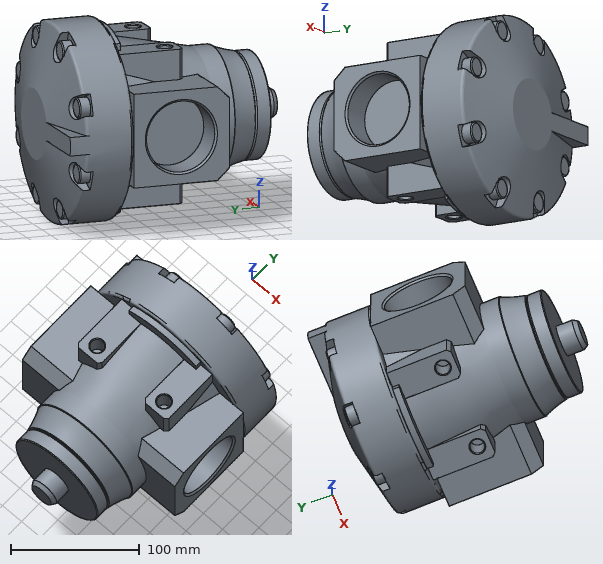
import cadquery as cq
import math

LENGTH = 198.0
SIDES = (-1, 1)

STEM_D = 25.0
STEM_TIP_D = 20.4
STEM_CHAMFER_LENGTH = 3.8

RING_D = 86.0
RING_FRONT_Y = 17.2
RING_BACK_Y = 29.9
RING_FRONT_CHAMFER = 0.8
RING_BACK_CHAMFER = 1.2
GROOVE_WIDTH = 0.8

NECK_FRONT_R = 43.4
NECK_BACK_R = 49.3
NECK_BACK_Y = 49.7
NECK_SAG = 0.5

COLLAR_D = 100.0
COLLAR_CHAMFER = 0.5
COLLAR_BACK_Y = 66.3
CONE_ANGLE = 12.0

CAP_D = 160.0
CAP_FRONT_Y = 145.1
CAP_FLAT_D = 56.6
CAP_SLOPE_ANGLE = 15.0
CAP_REAR_FILLET = 2.5
CAP_FRONT_FILLET = 2.0

SCREW_COUNT = 8
SCREW_CIRCLE_R = 68.3
SCREW_HEAD_D = 16.0
SCREW_HEAD_TOP_Y = 186.7
SCREW_HEAD_CHAMFER = 1.0
RECESS_WIDTH = 17.5
RECESS_FLOOR_Y = 177.8

TAB_WIDTH = 14.8
TAB_FRONT_Y = 181.8

BLOCK_LENGTH = CAP_D
BLOCK_HEIGHT = 75.0
BLOCK_FRONT_Y = 66.0
BLOCK_CHAMFER_Y = 10.0
BLOCK_CHAMFER_Z = 9.5
PORT_D = 56.6
PORT_Y = 106.0
PORT_DEPTH = 26.0
PORT_CHAMFER = 1.5

LEG_SPACING = 70.0
LEG_WIDTH = 25.0
LEG_HEIGHT = 123.5
LEG_FRONT_Y = 92.0
LEG_CHAMFER = 3.0
LEG_HOLE_D = 11.5
LEG_HOLE_Y = 103.0
LEG_HOLE_DEPTH = 19.8
LEG_HOLE_CHAMFER = 0.8

PAD_R = 76.0
PAD_LENGTH = 70.5
PAD_THICKNESS = 5.3


def box(x_range, y_range, z_range):
    """Box between the given limits."""
    size = [high - low for low, high in (x_range, y_range, z_range)]
    corner = (x_range[0], y_range[0], z_range[0])
    return cq.Workplane("XY").box(*size, centered=False).translate(corner)


def disc(diameter, front_y, back_y, x=0.0, z=0.0):
    """Cylinder along Y between two stations."""
    plane = cq.Workplane("XZ", origin=(x, back_y, z))
    return plane.circle(diameter / 2).extrude(back_y - front_y)


def make_body():
    """Revolved stem, ring, neck, collar and cone."""
    ring_r = RING_D / 2
    ring_front_r = ring_r - RING_FRONT_CHAMFER
    groove_r = ring_r - RING_BACK_CHAMFER
    collar_r = COLLAR_D / 2
    neck_front_y = RING_BACK_Y + GROOVE_WIDTH
    neck_middle = ((NECK_FRONT_R + NECK_BACK_R) / 2 - NECK_SAG, (neck_front_y + NECK_BACK_Y) / 2)
    cone_length = CAP_FRONT_Y - COLLAR_BACK_Y
    cone_back_r = collar_r + cone_length * math.tan(math.radians(CONE_ANGLE))
    profile = (
        cq.Workplane("XY")
        .moveTo(0, 0)
        .lineTo(STEM_TIP_D / 2, 0)
        .lineTo(STEM_D / 2, STEM_CHAMFER_LENGTH)
        .lineTo(STEM_D / 2, RING_FRONT_Y)
        .lineTo(ring_front_r, RING_FRONT_Y)
        .lineTo(ring_r, RING_FRONT_Y + RING_FRONT_CHAMFER)
        .lineTo(ring_r, RING_BACK_Y - RING_BACK_CHAMFER)
        .lineTo(groove_r, RING_BACK_Y)
        .lineTo(groove_r, neck_front_y)
        .lineTo(NECK_FRONT_R, neck_front_y)
        .threePointArc(neck_middle, (NECK_BACK_R, NECK_BACK_Y))
        .lineTo(collar_r, NECK_BACK_Y + COLLAR_CHAMFER)
        .lineTo(collar_r, COLLAR_BACK_Y)
        .lineTo(cone_back_r, CAP_FRONT_Y)
        .lineTo(0, CAP_FRONT_Y)
        .close()
    )
    return profile.revolve(360, (0, 0, 0), (0, 1, 0))


def make_cap():
    """Round cap with a conical back and rounded rims."""
    cap_r = CAP_D / 2
    flat_r = CAP_FLAT_D / 2
    slope_drop = (cap_r - flat_r) * math.tan(math.radians(CAP_SLOPE_ANGLE))
    rim_y = LENGTH - slope_drop
    profile = (
        cq.Workplane("XY")
        .moveTo(0, CAP_FRONT_Y)
        .lineTo(cap_r, CAP_FRONT_Y)
        .lineTo(cap_r, rim_y)
        .lineTo(flat_r, LENGTH)
        .lineTo(0, LENGTH)
        .close()
    )
    cap = profile.revolve(360, (0, 0, 0), (0, 1, 0))
    rear_rim = cq.selectors.NearestToPointSelector((0, rim_y, 0))
    cap = cap.edges("%CIRCLE").edges(rear_rim).fillet(CAP_REAR_FILLET)
    return cap.edges("<Y").fillet(CAP_FRONT_FILLET)


def make_recess():
    """Cutter for one screw recess on the +X side: a slot with a round inner end, open at the rim."""
    half_slot = RECESS_WIDTH / 2
    pocket = disc(RECESS_WIDTH, RECESS_FLOOR_Y, LENGTH, x=SCREW_CIRCLE_R)
    slot = box((SCREW_CIRCLE_R, CAP_D), (RECESS_FLOOR_Y, LENGTH), (-half_slot, half_slot))
    return pocket.union(slot)


def add_screws(cap):
    """Cut the recesses and put a cylindrical screw head in each."""
    recess = make_recess()
    head = disc(SCREW_HEAD_D, RECESS_FLOOR_Y, SCREW_HEAD_TOP_Y, x=SCREW_CIRCLE_R)
    head = head.edges(">Y").chamfer(SCREW_HEAD_CHAMFER)
    step = 360 / SCREW_COUNT
    for index in range(SCREW_COUNT):
        angle = (index + 0.5) * step
        cap = cap.cut(recess.rotate((0, 0, 0), (0, 1, 0), angle))
        cap = cap.union(head.rotate((0, 0, 0), (0, 1, 0), angle))
    return cap


def make_tab():
    """Tab from the cap's flat centre out to its -X edge, rounded to the cap's outer radius."""
    half_width = TAB_WIDTH / 2
    bar = box((-CAP_D / 2, 0), (TAB_FRONT_Y, LENGTH), (-half_width, half_width))
    return bar.intersect(disc(CAP_D, TAB_FRONT_Y, LENGTH))


def make_block():
    """Port block across the body with two bevelled front edges."""
    half_height = BLOCK_HEIGHT / 2
    bevel_z = half_height - BLOCK_CHAMFER_Z
    bevel_y = BLOCK_FRONT_Y + BLOCK_CHAMFER_Y
    outline = [
        (CAP_FRONT_Y, -half_height),
        (CAP_FRONT_Y, half_height),
        (bevel_y, half_height),
        (BLOCK_FRONT_Y, bevel_z),
        (BLOCK_FRONT_Y, -bevel_z),
        (bevel_y, -half_height),
    ]
    return cq.Workplane("YZ").polyline(outline).close().extrude(BLOCK_LENGTH / 2, both=True)


def make_leg(x):
    """Upright leg through the body, with bevelled front corners."""
    leg = box(
        (x - LEG_WIDTH / 2, x + LEG_WIDTH / 2),
        (LEG_FRONT_Y, CAP_FRONT_Y),
        (-LEG_HEIGHT / 2, LEG_HEIGHT / 2),
    )
    return leg.faces("<Y").edges("|Z").chamfer(LEG_CHAMFER)


def make_pads():
    """Disc trimmed to a strip, so that one pad stands out above the body and one below."""
    front_y = CAP_FRONT_Y - PAD_THICKNESS
    half_length = PAD_LENGTH / 2
    strip = box((-half_length, half_length), (front_y, CAP_FRONT_Y), (-PAD_R, PAD_R))
    return disc(2 * PAD_R, front_y, CAP_FRONT_Y).intersect(strip)


def blind_hole(mouth, inward, diameter, depth, chamfer):
    """Cutter for a flat-bottomed hole with a countersunk mouth."""
    center = cq.Vector(*mouth)
    direction = cq.Vector(*inward)
    bore = cq.Solid.makeCylinder(diameter / 2, depth, center, direction)
    countersink = cq.Solid.makeCone(diameter / 2 + chamfer, diameter / 2, chamfer, center, direction)
    return cq.Workplane(bore).union(cq.Workplane(countersink))


result = make_body().union(add_screws(make_cap())).union(make_tab()).union(make_block()).union(make_pads())

for side in SIDES:
    result = result.union(make_leg(side * LEG_SPACING / 2))

for side in SIDES:
    port_mouth = (side * BLOCK_LENGTH / 2, PORT_Y, 0)
    result = result.cut(blind_hole(port_mouth, (-side, 0, 0), PORT_D, PORT_DEPTH, PORT_CHAMFER))
    for level in SIDES:
        hole_mouth = (side * LEG_SPACING / 2, LEG_HOLE_Y, level * LEG_HEIGHT / 2)
        leg_hole = blind_hole(hole_mouth, (0, 0, -level), LEG_HOLE_D, LEG_HOLE_DEPTH, LEG_HOLE_CHAMFER)
        result = result.cut(leg_hole)